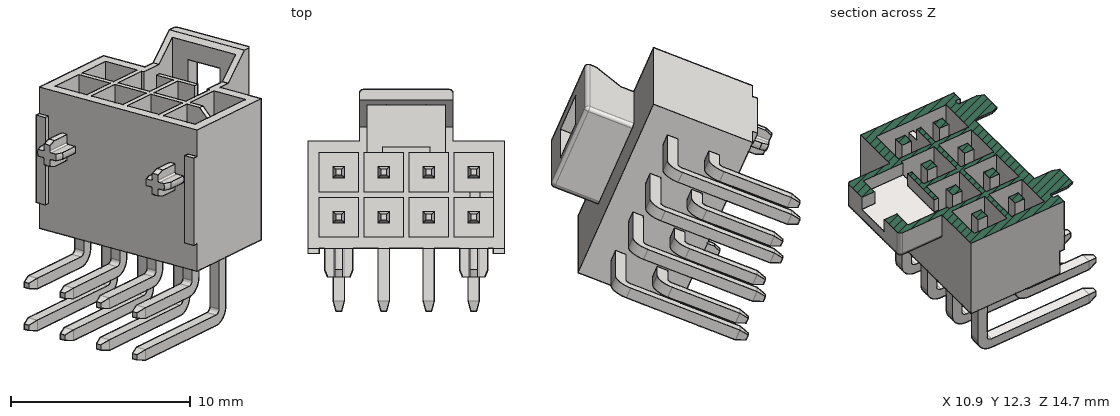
import cadquery as cq


PITCH = 2.5
COLUMNS = 4
ROWS = 2

HOUSING_WIDTH = 10.94
HOUSING_DEPTH = 5.97
HOUSING_HEIGHT = 8.44
CELL_SIZE = 2.19
CELL_DEPTH = 6.4
OVERCUT = 1.0

FIRST_ROW_Y = (HOUSING_DEPTH - PITCH) / 2
COLUMN_X = [(i - (COLUMNS - 1) / 2) * PITCH for i in range(COLUMNS)]
ROW_Y = [FIRST_ROW_Y + i * PITCH for i in range(ROWS)]
CELL_BACK_Y = ROW_Y[-1] + CELL_SIZE / 2
RIB_THICKNESS = PITCH - CELL_SIZE

SLOT_START_X = 4.11
SLOT_END_X = COLUMN_X[-1] + CELL_SIZE / 2
SLOT_DEPTH = 4.0
SLOT_LEAD_IN = 0.58

LATCH_WIDTH = 5.21
LATCH_REACH = 2.87
LATCH_RISE = 1.5
LATCH_HEIGHT = 6.45
LATCH_WALL = 0.87
LATCH_TOP_FLAT = 0.6
LATCH_ROUNDING = 0.23
LATCH_CAVITY_WIDTH = 4.39
WINDOW_WIDTH = 2.2
WINDOW_TOP_ABOVE_HOUSING = 0.15
SHIELD_WIDTH = 2.66
SHIELD_THICKNESS = 0.3

LATCH_BACK_Y = HOUSING_DEPTH + LATCH_REACH
LATCH_TOP_Z = HOUSING_HEIGHT + LATCH_RISE
LATCH_BOTTOM_Z = LATCH_TOP_Z - LATCH_HEIGHT
LATCH_FLOOR_Z = LATCH_BOTTOM_Z + LATCH_WALL

STRIP_WIDTH = 0.64
STRIP_HEIGHT = 5.22
STRIP_THICKNESS = 0.3
STRIP_TOP_BELOW_HOUSING = 1.58

PEG_DIAMETER = 1.6
PEG_LENGTH = 1.6
PEG_ARM_THICKNESS = 0.4
PEG_ARM_FILLET = 0.1
PEG_TIP_LENGTH = 0.41
PEG_TIP_INSET = 0.16
PEG_BELOW_HOUSING_TOP = 3.16

PIN_SIZE = 0.64
PIN_TIP_SIZE = 0.32
PIN_TIP_LENGTH = 0.58
PIN_REACH = 3.5
PIN_DROP = 4.72
PIN_BEND_RADIUS = 0.27
PIN_TOP_BELOW_HOUSING = 2.0


def block(x_min, x_max, y_min, y_max, z_min, z_max):
    """Box between the given limits."""
    box = cq.Workplane("XY").box(x_max - x_min, y_max - y_min, z_max - z_min, centered=False)
    return box.translate((x_min, y_min, z_min))


def centred_block(width, y_min, y_max, z_min, z_max):
    """Box of the given width, symmetric about X = 0."""
    return block(-width / 2, width / 2, y_min, y_max, z_min, z_max)


def make_latch():
    """Latch body: sloped upper front, rounded back and lower edges."""
    slope_start_y = LATCH_BACK_Y - LATCH_TOP_FLAT
    profile = [
        (HOUSING_DEPTH, LATCH_BOTTOM_Z),
        (LATCH_BACK_Y, LATCH_BOTTOM_Z),
        (LATCH_BACK_Y, LATCH_TOP_Z),
        (slope_start_y, LATCH_TOP_Z),
        (slope_start_y - LATCH_RISE, HOUSING_HEIGHT),
        (HOUSING_DEPTH, HOUSING_HEIGHT),
    ]
    latch = cq.Workplane("YZ").polyline(profile).close().extrude(LATCH_WIDTH / 2, both=True)
    return latch.edges("(>Y and |Z) or (<Z and |Y) or (<Z and >Y)").fillet(LATCH_ROUNDING)


def cut_latch(body):
    """Hollow the latch into the back row of cells and open the window in its back wall."""
    inner_wall_y = LATCH_BACK_Y - LATCH_WALL
    window_top_z = HOUSING_HEIGHT + WINDOW_TOP_ABOVE_HOUSING
    cavity = centred_block(
        LATCH_CAVITY_WIDTH, CELL_BACK_Y, inner_wall_y, LATCH_FLOOR_Z, LATCH_TOP_Z + OVERCUT
    )
    window = centred_block(
        WINDOW_WIDTH, inner_wall_y, LATCH_BACK_Y + OVERCUT, LATCH_FLOOR_Z, window_top_z
    )
    shield = centred_block(
        SHIELD_WIDTH, CELL_BACK_Y, CELL_BACK_Y + SHIELD_THICKNESS, LATCH_FLOOR_Z, HOUSING_HEIGHT
    )
    return body.cut(cavity).cut(window).union(shield)


def cut_cells(body):
    """Open one square cell for each pin."""
    centres = [(x, y) for x in COLUMN_X for y in ROW_Y]
    cells = (
        cq.Workplane("XY", origin=(0, 0, HOUSING_HEIGHT - CELL_DEPTH))
        .pushPoints(centres)
        .rect(CELL_SIZE, CELL_SIZE)
        .extrude(CELL_DEPTH)
    )
    return body.cut(cells)


def cut_keying_slot(body):
    """Slot with a sloped lead-in through the rib between the two rows."""
    profile = [
        (SLOT_START_X, HOUSING_HEIGHT - SLOT_DEPTH),
        (SLOT_END_X, HOUSING_HEIGHT - SLOT_DEPTH),
        (SLOT_END_X, HOUSING_HEIGHT),
        (SLOT_START_X - SLOT_LEAD_IN, HOUSING_HEIGHT),
        (SLOT_START_X, HOUSING_HEIGHT - SLOT_LEAD_IN),
    ]
    slot = (
        cq.Workplane("XZ", origin=(0, HOUSING_DEPTH / 2, 0))
        .polyline(profile)
        .close()
        .extrude(RIB_THICKNESS / 2, both=True)
    )
    return body.cut(slot)


def make_strip(side):
    """Standoff strip along one end of the front wall; side is -1 or 1."""
    outer_x = side * HOUSING_WIDTH / 2
    inner_x = outer_x - side * STRIP_WIDTH
    top_z = HOUSING_HEIGHT - STRIP_TOP_BELOW_HOUSING
    x_min, x_max = sorted((outer_x, inner_x))
    return block(x_min, x_max, -STRIP_THICKNESS, 0, top_z - STRIP_HEIGHT, top_z)


def make_peg(x):
    """Cross-shaped peg with round arm ends and a conical tip."""
    front = cq.Workplane("XZ", origin=(x, 0, HOUSING_HEIGHT - PEG_BELOW_HOUSING_TOP))
    cross = (
        front.rect(PEG_DIAMETER, PEG_ARM_THICKNESS)
        .extrude(PEG_LENGTH)
        .union(front.rect(PEG_ARM_THICKNESS, PEG_DIAMETER).extrude(PEG_LENGTH))
    )
    corner_reach = PEG_ARM_THICKNESS / 2 + PEG_ARM_FILLET
    corner_box = cq.selectors.BoxSelector(
        (x - corner_reach, -PEG_LENGTH, front.plane.origin.z - corner_reach),
        (x + corner_reach, 0, front.plane.origin.z + corner_reach),
    )
    cross = cross.edges("|Y").edges(corner_box).fillet(PEG_ARM_FILLET)
    envelope = (
        front.circle(PEG_DIAMETER / 2)
        .extrude(PEG_LENGTH)
        .faces("<Y")
        .chamfer(PEG_TIP_LENGTH, PEG_TIP_INSET)
    )
    return cross.intersect(envelope)


def make_tip(plane):
    """Tapered square pin end, growing along the normal of the given plane."""
    return (
        cq.Workplane(plane)
        .rect(PIN_SIZE, PIN_SIZE)
        .workplane(offset=PIN_TIP_LENGTH)
        .rect(PIN_TIP_SIZE, PIN_TIP_SIZE)
        .loft()
    )


def make_pin(x, row):
    """Pin standing in its cell, leaving below the housing and bent toward the front."""
    y = ROW_Y[row]
    leg_z = PIN_SIZE / 2 - PIN_DROP + (ROWS - 1 - row) * PITCH
    upper_end_z = HOUSING_HEIGHT - PIN_TOP_BELOW_HOUSING - PIN_TIP_LENGTH
    front_end_y = PIN_TIP_LENGTH - PIN_REACH
    half = PIN_SIZE / 2
    upright = block(x - half, x + half, y - half, y + half, leg_z - half, upper_end_z)
    leg = block(x - half, x + half, front_end_y, y + half, leg_z - half, leg_z + half)
    pin = upright.union(leg)
    pin = pin.edges("|X and >Y and <Z").fillet(PIN_BEND_RADIUS + PIN_SIZE)
    inner_corner = cq.selectors.NearestToPointSelector((x, y - half, leg_z + half))
    pin = pin.edges("|X").edges(inner_corner).fillet(PIN_BEND_RADIUS)
    upper_tip = make_tip(cq.Plane((x, y, upper_end_z), xDir=(1, 0, 0), normal=(0, 0, 1)))
    front_tip = make_tip(cq.Plane((x, front_end_y, leg_z), xDir=(1, 0, 0), normal=(0, -1, 0)))
    return pin.union(upper_tip).union(front_tip)


result = centred_block(HOUSING_WIDTH, 0, HOUSING_DEPTH, 0, HOUSING_HEIGHT).union(make_latch())
result = cut_cells(result)
result = cut_latch(result)
result = cut_keying_slot(result)
for end in (-1, 1):
    result = result.union(make_strip(end))
for peg_x in (COLUMN_X[0], COLUMN_X[-1]):
    result = result.union(make_peg(peg_x))
for pin_x in COLUMN_X:
    for pin_row in range(ROWS):
        result = result.union(make_pin(pin_x, pin_row))